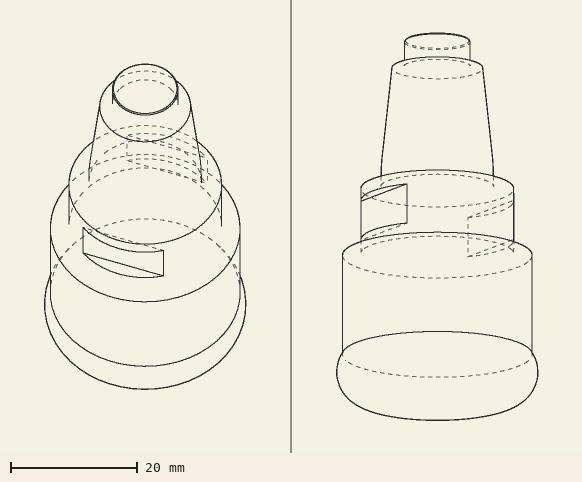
import cadquery as cq

foot_radius = 15.95
rim_radius = 5.0
foot_height = 7.9

shoulder_z = 24.1
collar_top_z = 34.9
neck_bend_z = 39.65
neck_top_z = 54.6
overall_height = 59.0

barrel_radius = 30.05 / 2
collar_radius = 24.2 / 2
neck_base_radius = 8.9
neck_bend_radius = 8.8
neck_top_radius = 7.2
tip_radius = 10.4 / 2

collar_fillet = 0.35
neck_fillet = 0.5
tip_fillet = 0.5
tip_chamfer = 0.2
neck_bulge = 0.05

flat_bottom_z = 26.55
flat_top_z = 32.9
across_flats = 20.05


def make_foot():
    """Disc whose rim is a circular arc, cut off flat where the barrel sits on it."""
    rim_center_radius = foot_radius - rim_radius
    rise_above_rim_center = foot_height - rim_radius
    seat_radius = rim_center_radius + (rim_radius**2 - rise_above_rim_center**2) ** 0.5
    return (
        cq.Workplane("XZ")
        .lineTo(rim_center_radius, 0)
        .threePointArc((foot_radius, rim_radius), (seat_radius, foot_height))
        .lineTo(0, foot_height)
        .close()
        .revolve(360, (0, 0), (0, 1))
    )


def concave_fillet(profile, radius, z, size):
    """Extend a profile inward and up from a step at height z by a concave quarter arc."""
    inset = size * (1 - 0.5**0.5)
    return profile.lineTo(radius + size, z).threePointArc(
        (radius + inset, z + inset), (radius, z + size)
    )


def make_turned_housing():
    """Stepped barrel, collar, tapered neck and tip, revolved about Z."""
    profile = cq.Workplane("XZ").moveTo(0, foot_height)
    profile = profile.lineTo(barrel_radius, foot_height).lineTo(barrel_radius, shoulder_z)
    profile = concave_fillet(profile, collar_radius, shoulder_z, collar_fillet)
    profile = profile.lineTo(collar_radius, collar_top_z)
    profile = concave_fillet(profile, neck_base_radius, collar_top_z, neck_fillet)

    lower_neck_middle = (
        (neck_base_radius + neck_bend_radius) / 2 + neck_bulge,
        (collar_top_z + neck_fillet + neck_bend_z) / 2,
    )
    profile = profile.threePointArc(lower_neck_middle, (neck_bend_radius, neck_bend_z))
    profile = profile.lineTo(neck_top_radius, neck_top_z)
    profile = concave_fillet(profile, tip_radius, neck_top_z, tip_fillet)
    return (
        profile.lineTo(tip_radius, overall_height - tip_chamfer)
        .lineTo(tip_radius - tip_chamfer, overall_height)
        .lineTo(0, overall_height)
        .close()
        .revolve(360, (0, 0), (0, 1))
    )


def cut_wrench_flats(body):
    """Cut two opposite flats into the front and back of the collar."""
    flat_height = flat_top_z - flat_bottom_z
    cutter_depth = collar_radius
    for side in (-1, 1):
        cutter = cq.Workplane("XY").box(2 * collar_radius, cutter_depth, flat_height).translate(
            (0, side * (across_flats + cutter_depth) / 2, (flat_bottom_z + flat_top_z) / 2)
        )
        body = body.cut(cutter)
    return body


foot = make_foot()
housing = cut_wrench_flats(make_turned_housing())

result = cq.Compound.makeCompound([foot.val(), *housing.vals()])